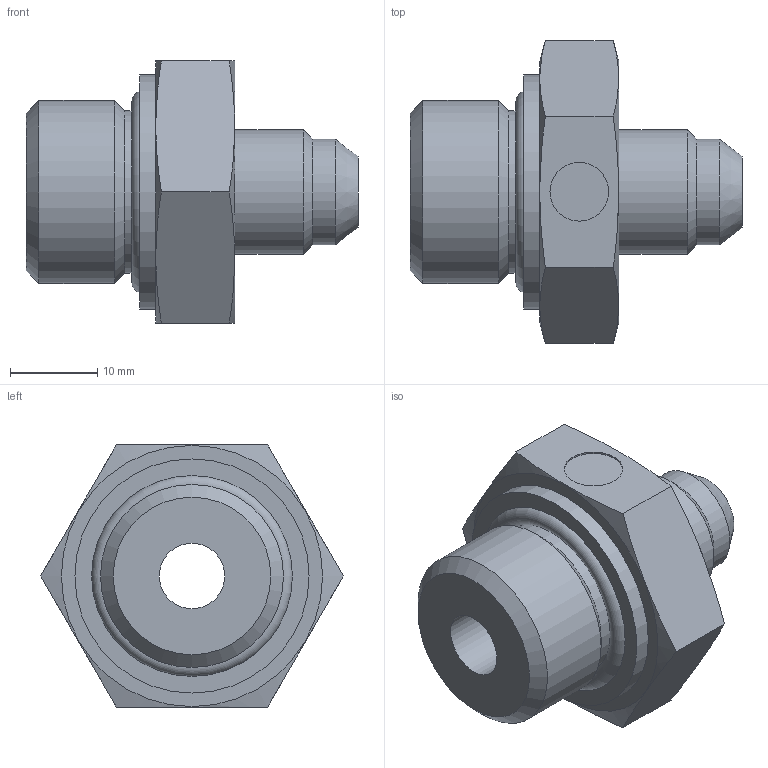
import cadquery as cq
import math

TOTAL_LENGTH = 38.0
PORT_THREAD_END = 10.13
COLLAR_START = 13.0
HEX_START = 14.85
HEX_END = 23.9
TUBE_THREAD_END = 31.75

PORT_THREAD_RADIUS = 20.95 / 2
PORT_TIP_CHAMFER = 1.46
UNDERCUT_RADIUS = 18.63 / 2
SEAL_RADIUS = 1.1
SEAL_TIP_X = 12.13
COLLAR_RADIUS = 26.8 / 2

HEX_ACROSS_FLATS = 30.0
HEX_FACE_RADIUS = 29.9 / 2
HEX_CHAMFER_ANGLE = math.radians(15)

TUBE_THREAD_RADIUS = 14.25 / 2
NOSE_RADIUS = 12.12 / 2
FLARE_TIP_RADIUS = 8.2 / 2
FLARE_ANGLE = math.radians(37)

BORE_DIAMETER = 7.5

RECESS_DIAMETER = 6.72
RECESS_DEPTH = 0.2


def turned(profile):
    """Revolve a closed (X, radius) profile around the X axis."""
    return profile.close().revolve(360, (0, 0, 0), (1, 0, 0))


def make_port_end():
    """Chamfered thread envelope running into its undercut, plus the collar."""
    undercut_start = PORT_THREAD_END + PORT_THREAD_RADIUS - UNDERCUT_RADIUS
    profile = (
        cq.Workplane("XY")
        .moveTo(0, 0)
        .lineTo(0, PORT_THREAD_RADIUS - PORT_TIP_CHAMFER)
        .lineTo(PORT_TIP_CHAMFER, PORT_THREAD_RADIUS)
        .lineTo(PORT_THREAD_END, PORT_THREAD_RADIUS)
        .lineTo(undercut_start, UNDERCUT_RADIUS)
        .lineTo(COLLAR_START, UNDERCUT_RADIUS)
        .lineTo(COLLAR_START, COLLAR_RADIUS)
        .lineTo(HEX_START, COLLAR_RADIUS)
        .lineTo(HEX_START, 0)
    )
    return turned(profile)


def make_seal():
    """Exposed part of an O-ring that sits on the undercut, partly sunk into the collar."""
    center_x = SEAL_TIP_X + SEAL_RADIUS
    center_radius = UNDERCUT_RADIUS + SEAL_RADIUS
    sunk_depth = center_x - COLLAR_START
    rim_radius = center_radius + math.sqrt(SEAL_RADIUS**2 - sunk_depth**2)
    profile = (
        cq.Workplane("XY")
        .moveTo(center_x, UNDERCUT_RADIUS)
        .threePointArc((SEAL_TIP_X, center_radius), (COLLAR_START, rim_radius))
        .lineTo(center_x, rim_radius)
    )
    return turned(profile)


def make_hexagon():
    """Hexagon with horizontal flats, its corners chamfered by a cone at both ends."""
    length = HEX_END - HEX_START
    corner_radius = HEX_ACROSS_FLATS / math.sqrt(3)
    prism = (
        cq.Workplane("YZ")
        .workplane(offset=HEX_START)
        .polygon(6, 2 * corner_radius)
        .extrude(length)
    )
    cone_length = length / 2
    envelope_radius = HEX_FACE_RADIUS + cone_length / math.tan(HEX_CHAMFER_ANGLE)
    profile = (
        cq.Workplane("XY")
        .moveTo(HEX_START, 0)
        .lineTo(HEX_START, HEX_FACE_RADIUS)
        .lineTo(HEX_START + cone_length, envelope_radius)
        .lineTo(HEX_END, HEX_FACE_RADIUS)
        .lineTo(HEX_END, 0)
    )
    return prism.intersect(turned(profile))


def make_tube_end():
    """Thread envelope, 45 degree shoulder, plain nose and flare cone."""
    nose_start = TUBE_THREAD_END + TUBE_THREAD_RADIUS - NOSE_RADIUS
    flare_start = TOTAL_LENGTH - (NOSE_RADIUS - FLARE_TIP_RADIUS) / math.tan(FLARE_ANGLE)
    profile = (
        cq.Workplane("XY")
        .moveTo(HEX_END, 0)
        .lineTo(HEX_END, TUBE_THREAD_RADIUS)
        .lineTo(TUBE_THREAD_END, TUBE_THREAD_RADIUS)
        .lineTo(nose_start, NOSE_RADIUS)
        .lineTo(flare_start, NOSE_RADIUS)
        .lineTo(TOTAL_LENGTH, FLARE_TIP_RADIUS)
        .lineTo(TOTAL_LENGTH, 0)
    )
    return turned(profile)


def make_bore():
    """Straight bore through the whole length."""
    return cq.Workplane("YZ").circle(BORE_DIAMETER / 2).extrude(TOTAL_LENGTH)


def make_recess():
    """Shallow round recess centred on the upper flat."""
    return (
        cq.Workplane("XY")
        .workplane(offset=HEX_ACROSS_FLATS / 2 - RECESS_DEPTH)
        .center((HEX_START + HEX_END) / 2, 0)
        .circle(RECESS_DIAMETER / 2)
        .extrude(RECESS_DEPTH)
    )


body = make_port_end().union(make_seal()).union(make_hexagon()).union(make_tube_end())
result = body.cut(make_bore()).cut(make_recess())